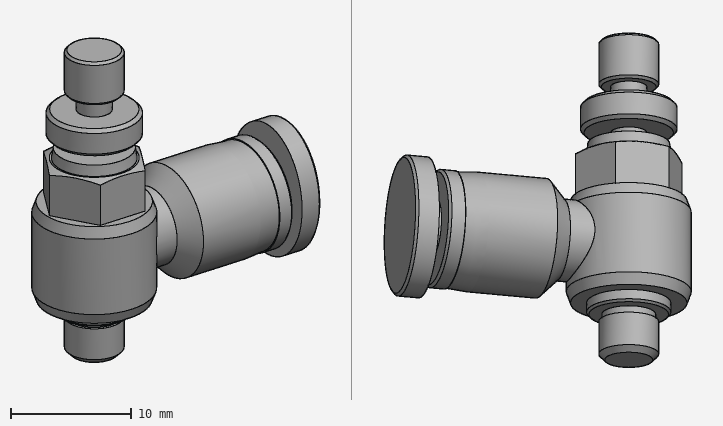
import cadquery as cq
import math


THREAD_DIAMETER = 5.0
THREAD_TIP_CHAMFER = 0.5
THREAD_TOP = 3.35
NECK_DIAMETER = 4.5
COLLAR_BOTTOM = 4.0
COLLAR_DIAMETER = 7.0
COLLAR_CHAMFER = 0.2
HEX_ACROSS_FLATS = 8.0
HEX_TOP = 17.95
HEX_CHAMFER_RADIUS = 3.75
HEX_CORNER_DROP = 0.3
HEAD_TOP = 18.92
HEAD_BASE_DIAMETER = 7.15
HEAD_TOP_DIAMETER = 6.84

BARREL_DIAMETER = 10.4
BARREL_BOTTOM = 5.0
BARREL_TOP = 13.92
BARREL_TAPER_HEIGHT = 0.98
BARREL_TAPER_INSET = 0.35
PORT_HEIGHT = 9.95
PORT_NECK_DIAMETER = 6.85
PORT_CONE_START = 6.03
PORT_CONE_END = 7.6
PORT_DIAMETER = 10.02
PORT_TAPER_START = 13.5
PORT_TAPER_DIAMETER = 9.7
RIM_START = 15.5
RIM_END = 16.94
RIM_DIAMETER = 9.9
RIM_CHAMFER = 0.22

ROD_DIAMETER = 3.0
DISC_BOTTOM = 19.92
DISC_TOP = 22.43
DISC_DIAMETER = 8.04
DISC_CHAMFER = 0.3
KNOB_BOTTOM = 23.95
KNOB_TOP = 27.9
KNOB_DIAMETER = 5.0
KNOB_CHAMFER = 0.22

OVERALL_LENGTH = 25.0
BUTTON_END = OVERALL_LENGTH - BARREL_DIAMETER / 2
BUTTON_START = 17.8
BUTTON_WIDTH = 9.9
BUTTON_HEIGHT = 11.97
BUTTON_CHAMFER = 0.22
SLEEVE_DIAMETER = 5.15
SLEEVE_FLARE = 0.22


def turned_about_z(outline):
    """Revolve a closed (radius, Z) outline about the valve axis."""
    return cq.Workplane("XZ").polyline(outline).close().revolve(360, (0, 0), (0, 1))


def turned_about_port(outline):
    """Revolve a closed (radius, Y) outline about the port axis."""
    return (
        cq.Workplane("XY", origin=(0, 0, PORT_HEIGHT))
        .polyline(outline)
        .close()
        .revolve(360, (0, 0), (0, 1))
    )


def make_hexagon():
    """Hexagon with two corners on the Y axis and its top corners bevelled."""
    corner_radius = HEX_ACROSS_FLATS / math.sqrt(3)
    prism = (
        cq.Workplane("XY", origin=(0, 0, BARREL_TOP))
        .polygon(6, 2 * corner_radius)
        .extrude(HEX_TOP - BARREL_TOP)
        .rotate((0, 0, 0), (0, 0, 1), 30)
    )
    bevel_envelope = turned_about_z([
        (0, BARREL_TOP),
        (corner_radius, BARREL_TOP),
        (corner_radius, HEX_TOP - HEX_CORNER_DROP),
        (HEX_CHAMFER_RADIUS, HEX_TOP),
        (0, HEX_TOP),
    ])
    return prism.intersect(bevel_envelope)


def make_banjo_bolt():
    thread_radius = THREAD_DIAMETER / 2
    neck_radius = NECK_DIAMETER / 2
    collar_radius = COLLAR_DIAMETER / 2
    shank = turned_about_z([
        (0, 0),
        (thread_radius - THREAD_TIP_CHAMFER, 0),
        (thread_radius, THREAD_TIP_CHAMFER),
        (thread_radius, THREAD_TOP),
        (neck_radius, THREAD_TOP),
        (neck_radius, COLLAR_BOTTOM),
        (collar_radius - COLLAR_CHAMFER, COLLAR_BOTTOM),
        (collar_radius, COLLAR_BOTTOM + COLLAR_CHAMFER),
        (collar_radius, BARREL_TOP),
        (0, BARREL_TOP),
    ])
    head = turned_about_z([
        (0, HEX_TOP),
        (HEAD_BASE_DIAMETER / 2, HEX_TOP),
        (HEAD_TOP_DIAMETER / 2, HEAD_TOP),
        (0, HEAD_TOP),
    ])
    return shank.union(make_hexagon()).union(head)


def make_housing():
    barrel_radius = BARREL_DIAMETER / 2
    barrel_end_radius = barrel_radius - BARREL_TAPER_INSET
    barrel = turned_about_z([
        (0, BARREL_BOTTOM),
        (barrel_end_radius, BARREL_BOTTOM),
        (barrel_radius, BARREL_BOTTOM + BARREL_TAPER_HEIGHT),
        (barrel_radius, BARREL_TOP - BARREL_TAPER_HEIGHT),
        (barrel_end_radius, BARREL_TOP),
        (0, BARREL_TOP),
    ])
    rim_radius = RIM_DIAMETER / 2
    port = turned_about_port([
        (0, 0),
        (PORT_NECK_DIAMETER / 2, 0),
        (PORT_NECK_DIAMETER / 2, PORT_CONE_START),
        (PORT_DIAMETER / 2, PORT_CONE_END),
        (PORT_DIAMETER / 2, PORT_TAPER_START),
        (PORT_TAPER_DIAMETER / 2, RIM_START),
        (rim_radius, RIM_START),
        (rim_radius, RIM_END - RIM_CHAMFER),
        (rim_radius - RIM_CHAMFER, RIM_END),
        (0, RIM_END),
    ])
    bolt_bore = (
        cq.Workplane("XY", origin=(0, 0, BARREL_BOTTOM))
        .circle(COLLAR_DIAMETER / 2)
        .extrude(BARREL_TOP - BARREL_BOTTOM)
    )
    return barrel.union(port).cut(bolt_bore)


def make_needle():
    rod_radius = ROD_DIAMETER / 2
    disc_radius = DISC_DIAMETER / 2
    knob_radius = KNOB_DIAMETER / 2
    return turned_about_z([
        (0, HEAD_TOP),
        (rod_radius, HEAD_TOP),
        (rod_radius, DISC_BOTTOM),
        (disc_radius - DISC_CHAMFER, DISC_BOTTOM),
        (disc_radius, DISC_BOTTOM + DISC_CHAMFER),
        (disc_radius, DISC_TOP - DISC_CHAMFER),
        (disc_radius - DISC_CHAMFER, DISC_TOP),
        (rod_radius, DISC_TOP),
        (rod_radius, KNOB_BOTTOM),
        (knob_radius - KNOB_CHAMFER, KNOB_BOTTOM),
        (knob_radius, KNOB_BOTTOM + KNOB_CHAMFER),
        (knob_radius, KNOB_TOP - KNOB_CHAMFER),
        (knob_radius - KNOB_CHAMFER, KNOB_TOP),
        (0, KNOB_TOP),
    ])


def make_release_button():
    flange = (
        cq.Workplane("XZ", origin=(0, BUTTON_START, PORT_HEIGHT))
        .ellipse(BUTTON_WIDTH / 2, BUTTON_HEIGHT / 2)
        .extrude(BUTTON_START - BUTTON_END)
        .faces(">Y")
        .edges()
        .chamfer(BUTTON_CHAMFER)
    )
    sleeve_radius = SLEEVE_DIAMETER / 2
    sleeve = turned_about_port([
        (0, RIM_END),
        (sleeve_radius, RIM_END),
        (sleeve_radius, BUTTON_START - SLEEVE_FLARE),
        (sleeve_radius + SLEEVE_FLARE, BUTTON_START),
        (0, BUTTON_START),
    ])
    return flange.union(sleeve)


housing = make_housing()
banjo_bolt = make_banjo_bolt()
needle = make_needle()
release_button = make_release_button()

result = cq.Compound.makeCompound([
    housing.solids().val(),
    banjo_bolt.solids().val(),
    needle.solids().val(),
    release_button.solids().val(),
])